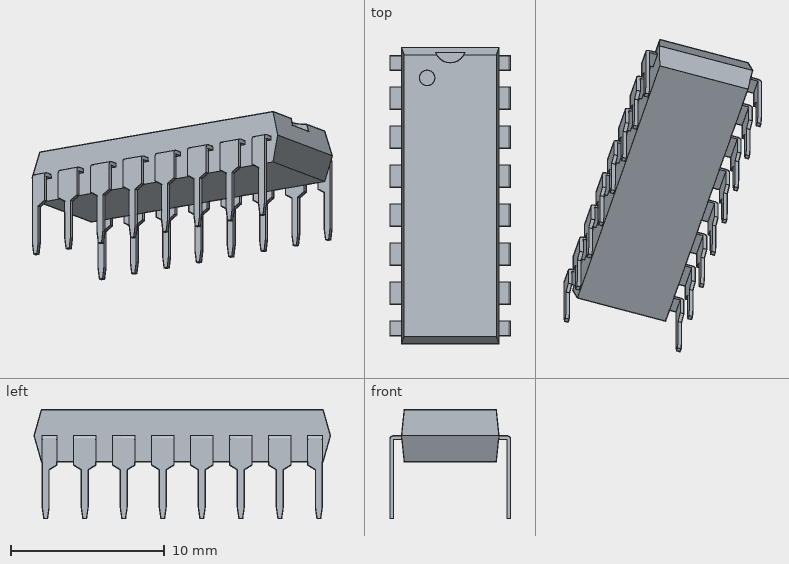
import cadquery as cq

body_length = 19.3
body_width = 6.35
half_height = 1.7
end_draft = 0.48
side_draft = 0.17

notch_radius = 1.0
notch_depth = 0.5

mark_diameter = 1.0
mark_depth = 0.02
mark_x = -1.5
mark_from_end = 1.99

leads_per_row = 8
row_length = 17.78
overall_width = 7.87
lead_thickness = 0.25
bend_radius = lead_thickness
shoulder_width = 1.47
pin_width = 0.46
tip_width = 0.25
shoulder_drop = 1.91
pin_top_drop = 2.22
tip_drop = 4.65
lead_drop = 5.4
lead_embed = 0.39

lead_pitch = row_length / (leads_per_row - 1)
overall_half = overall_width / 2


def body_half(direction):
    """Frustum from the parting plane to the top (+1) or bottom (-1) face."""
    return (
        cq.Workplane("XY")
        .rect(body_width, body_length)
        .workplane(offset=direction * half_height)
        .rect(body_width - 2 * side_draft, body_length - 2 * end_draft)
        .loft(ruled=True)
    )


def top_recess(x, y, radius, depth):
    """Round cutter of the given radius that sinks to the given depth below the top face."""
    return (
        cq.Workplane("XY", origin=(x, y, half_height - depth))
        .circle(radius)
        .extrude(depth)
    )


def lead_sheet():
    """Full-length strip on the -X side: a flat arm bent down, rounded on the outside of the bend."""
    outer_x = -overall_half
    inner_x = -body_width / 2 + lead_embed
    return (
        cq.Workplane("XZ")
        .moveTo(inner_x, 0)
        .lineTo(outer_x + bend_radius, 0)
        .radiusArc((outer_x, -bend_radius), -bend_radius)
        .lineTo(outer_x, -lead_drop)
        .lineTo(outer_x + lead_thickness, -lead_drop)
        .lineTo(outer_x + lead_thickness, -lead_thickness)
        .lineTo(inner_x, -lead_thickness)
        .close()
        .extrude(body_length / 2, both=True)
    )


def lead_outline(y, left_shoulder, right_shoulder):
    """Lead seen along X, centred at y; a side without a shoulder stays at the pin width."""
    shoulder = shoulder_width / 2
    pin = pin_width / 2
    tip = tip_width / 2
    left = shoulder if left_shoulder else pin
    right = shoulder if right_shoulder else pin
    points = [(y - left, 0), (y + right, 0)]
    if right_shoulder:
        points.append((y + shoulder, -shoulder_drop))
    points += [
        (y + pin, -pin_top_drop),
        (y + pin, -tip_drop),
        (y + tip, -lead_drop),
        (y - tip, -lead_drop),
        (y - pin, -tip_drop),
        (y - pin, -pin_top_drop),
    ]
    if left_shoulder:
        points.append((y - shoulder, -shoulder_drop))
    return cq.Workplane("YZ").polyline(points).close().extrude(-overall_half)


body = body_half(1).union(body_half(-1))
body = body.cut(top_recess(0, body_length / 2, notch_radius, notch_depth))
body = body.cut(top_recess(mark_x, body_length / 2 - mark_from_end, mark_diameter / 2, mark_depth))

sheet = lead_sheet()
result = body
for index in range(leads_per_row):
    lead_y = index * lead_pitch - row_length / 2
    outline = lead_outline(lead_y, index > 0, index < leads_per_row - 1)
    lead = sheet.intersect(outline)
    result = result.union(lead).union(lead.mirror("YZ"))